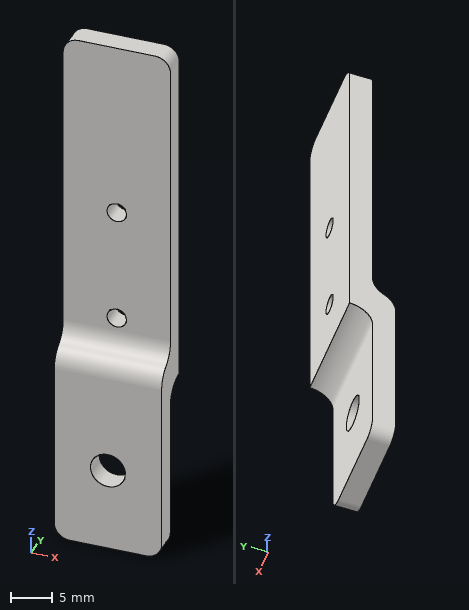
import cadquery as cq
import math

width = 14.0
length = 69.5
depth = 6.0
thickness = depth / 2
corner_radius = 2.0

bend_radius = thickness
front_step_bottom = 24.05
back_step_bottom = 20.0

large_hole_diameter = 4.5
large_hole_height = 11.05
small_hole_diameter = 2.5
lower_small_hole_height = 31.1
small_hole_spacing = 15.0

front = -thickness
middle = 0.0
back = thickness

front_step_height = math.sqrt((2 * bend_radius) ** 2 - thickness ** 2)
front_step_top = front_step_bottom + front_step_height
back_step_top = back_step_bottom + bend_radius


def arc_point(center_y, center_z, angle):
    """Point on a bend arc, with the angle in degrees from +Y towards +Z."""
    turn = math.radians(angle)
    return (
        center_y + bend_radius * math.cos(turn),
        center_z + bend_radius * math.sin(turn),
    )


def stepped_strap():
    """Side outline of the strap, extruded across its width."""
    tangent_angle = math.degrees(math.atan2(front_step_height, thickness))
    bend_join = arc_point(front, front_step_top, -tangent_angle)
    inner_bend_mid = arc_point(front, front_step_top, -tangent_angle / 2)
    outer_bend_mid = arc_point(middle, front_step_bottom, 180 - tangent_angle / 2)
    back_bend_mid = arc_point(back, back_step_bottom, 135)
    return (
        cq.Workplane("YZ")
        .moveTo(front, 0)
        .lineTo(front, front_step_bottom)
        .threePointArc(outer_bend_mid, bend_join)
        .threePointArc(inner_bend_mid, (middle, front_step_top))
        .lineTo(middle, length)
        .lineTo(back, length)
        .lineTo(back, back_step_top)
        .threePointArc(back_bend_mid, (middle, back_step_bottom))
        .lineTo(middle, 0)
        .close()
        .extrude(width / 2, both=True)
    )


def cross_hole(diameter, height):
    """Cutter for a hole along Y through the whole depth."""
    return (
        cq.Workplane("XZ")
        .center(0, height)
        .circle(diameter / 2)
        .extrude(depth, both=True)
    )


strap = stepped_strap()

for end in ("<Z", ">Z"):
    strap = strap.faces(end).edges("|Y").fillet(corner_radius)

strap = strap.cut(cross_hole(large_hole_diameter, large_hole_height))
for index in range(2):
    small_hole_height = lower_small_hole_height + index * small_hole_spacing
    strap = strap.cut(cross_hole(small_hole_diameter, small_hole_height))

result = strap